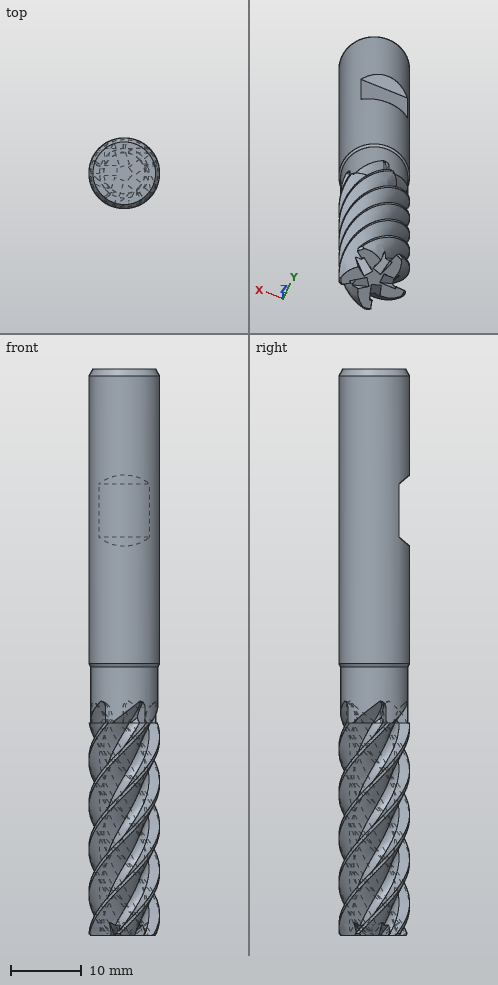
import cadquery as cq
import math

overall_length = 80.0
cutting_length = 30.0
flute_end_z = 33.1
neck_end_z = 37.9
shank_start_z = 38.4

tool_radius = 5.0
neck_radius = 4.75
clear_radius = 1.2 * tool_radius

top_chamfer_height = 1.0
top_chamfer_angle = 30.0
top_chamfer_width = top_chamfer_height * math.tan(math.radians(top_chamfer_angle))
flat_center_z = 60.0
flat_floor_length = 7.5
flat_depth = 1.5
flat_side_angle = 40.0

flute_count = 5
helix_angle = 45.0
helix_lead = 2 * math.pi * tool_radius / math.tan(math.radians(helix_angle))
twist_per_mm = 360.0 / helix_lead
runout_twist_per_mm = 16.0
runout_corner_radius = 0.9
tooth_pitch = 360.0 / flute_count
first_edge_angle = 36.5
corner_chamfer = 0.3

land_end = (7.0, tool_radius)
flank_middle = (24.0, 4.1)
floor_start = (47.0, 2.9)
floor_middle = (57.0, 2.95)
rake_foot = (71.5, 3.5)
next_edge = (tooth_pitch, tool_radius)

gash_height = 1.85
gash_inner_radius = 1.0
gash_outer_radius = 3.4
gash_width = 1.4
gash_overlap = 0.3


def polar(angle, radius):
    """X and Y of a point given by its angle in degrees and its radius."""
    turn = math.radians(angle)
    return (radius * math.cos(turn), radius * math.sin(turn))


def draw_flute(outline, edge_angle):
    """Continue an outline through one flute: flank, floor, then rake face up to the next edge."""
    flank, floor_in, floor_mid, rake, edge = [
        polar(edge_angle + angle, radius)
        for angle, radius in (flank_middle, floor_start, floor_middle, rake_foot, next_edge)
    ]
    return outline.threePointArc(flank, floor_in).threePointArc(floor_mid, rake).lineTo(*edge)


def flute_cutter(start_z, length, twist_rate, edge_angle):
    """Twisted solid that fills one flute, reaching out past the tool surface."""
    outline = cq.Workplane("XY").moveTo(*polar(*land_end))
    return (
        draw_flute(outline, 0)
        .lineTo(*polar(tooth_pitch, clear_radius))
        .threePointArc(polar(tooth_pitch / 2, clear_radius), polar(land_end[0], clear_radius))
        .close()
        .twistExtrude(length, twist_rate * length)
        .rotate((0, 0, 0), (0, 0, 1), edge_angle)
        .translate((0, 0, start_z))
    )


def fluted_bar():
    """Twisted bar of the full cutting length, with every land and flute in its section."""
    outline = cq.Workplane("XY").moveTo(tool_radius, 0)
    land_angle = land_end[0]
    for tooth in range(flute_count):
        edge_angle = tooth * tooth_pitch
        land_middle = polar(edge_angle + land_angle / 2, tool_radius)
        outline = outline.threePointArc(land_middle, polar(edge_angle + land_angle, tool_radius))
        outline = draw_flute(outline, edge_angle)
    return (
        outline.close()
        .twistExtrude(cutting_length, twist_per_mm * cutting_length)
        .rotate((0, 0, 0), (0, 0, 1), first_edge_angle)
    )


def turned(points):
    """Solid of revolution about Z from (radius, height) points."""
    return cq.Workplane("XZ").polyline(points).close().revolve(360, (0, 0), (0, 1))


def runout_core():
    """Core that rises along an arc from the flute floor to the neck surface."""
    core_radius = floor_start[1]
    rise = neck_radius - core_radius
    run = flute_end_z - cutting_length
    arc_radius = (rise**2 + run**2) / (2 * rise)
    half_sweep = math.asin(run / arc_radius) / 2
    middle = (
        core_radius + arc_radius * (1 - math.cos(half_sweep)),
        cutting_length + arc_radius * math.sin(half_sweep),
    )
    return (
        cq.Workplane("XZ")
        .moveTo(0, cutting_length)
        .lineTo(core_radius, cutting_length)
        .threePointArc(middle, (neck_radius, flute_end_z))
        .lineTo(clear_radius, flute_end_z)
        .lineTo(clear_radius, shank_start_z)
        .lineTo(0, shank_start_z)
        .close()
        .revolve(360, (0, 0), (0, 1))
    )


def flute_runout(edge_angle):
    """Pocket where one flute dies out in the neck, closed by a round-topped wall at the next edge."""
    height = flute_end_z - cutting_length
    wall_angle = edge_angle + tooth_pitch
    kept_side = (
        cq.Workplane("XY", origin=(0, 0, cutting_length))
        .rect(clear_radius, -2 * clear_radius, centered=False)
        .extrude(height)
        .faces(">Z").edges(">Y").fillet(runout_corner_radius)
        .rotate((0, 0, 0), (0, 0, 1), wall_angle)
    )
    flute = flute_cutter(cutting_length, height, runout_twist_per_mm, edge_angle)
    return flute.intersect(kept_side).cut(runout_core())


def weldon_flat():
    """Clamping flat on the +Y side of the shank, with sloped ends."""
    floor_y = tool_radius - flat_depth
    clear_y = tool_radius + flat_depth
    half_floor = flat_floor_length / 2
    half_mouth = half_floor + (clear_y - floor_y) * math.tan(math.radians(flat_side_angle))
    return (
        cq.Workplane("YZ")
        .polyline([
            (floor_y, flat_center_z - half_floor),
            (clear_y, flat_center_z - half_mouth),
            (clear_y, flat_center_z + half_mouth),
            (floor_y, flat_center_z + half_floor),
        ])
        .close()
        .extrude(tool_radius, both=True)
    )


def tip_gash(edge_angle):
    """Wedge that slopes the flute floor in toward the axis at the tip, beside a cutting edge."""
    return (
        cq.Workplane("XZ", origin=(0, gash_overlap, 0))
        .polyline([
            (gash_inner_radius, 0),
            (gash_outer_radius, gash_height),
            (gash_outer_radius, 0),
        ])
        .close()
        .extrude(gash_width)
        .rotate((0, 0, 0), (0, 0, 1), edge_angle)
    )


def make_shank():
    body = turned([
        (0, cutting_length),
        (neck_radius, cutting_length),
        (neck_radius, neck_end_z),
        (tool_radius, shank_start_z),
        (tool_radius, overall_length - top_chamfer_height),
        (tool_radius - top_chamfer_width, overall_length),
        (0, overall_length),
    ])
    edge_at_neck = first_edge_angle + twist_per_mm * cutting_length
    first_runout = flute_runout(edge_at_neck)
    for flute in range(flute_count):
        body = body.cut(first_runout.rotate((0, 0, 0), (0, 0, 1), flute * tooth_pitch))
    return body.cut(weldon_flat())


def make_cutting_head():
    corner_ring = turned([
        (tool_radius - corner_chamfer, 0),
        (clear_radius, 0),
        (clear_radius, corner_chamfer),
        (tool_radius, corner_chamfer),
    ])
    head = fluted_bar().cut(corner_ring)
    for flute in range(flute_count):
        head = head.cut(tip_gash(first_edge_angle + flute * tooth_pitch))
    return head


shank = make_shank()
cutting_head = make_cutting_head()

result = cq.Compound.makeCompound([*shank.solids().vals(), *cutting_head.solids().vals()])